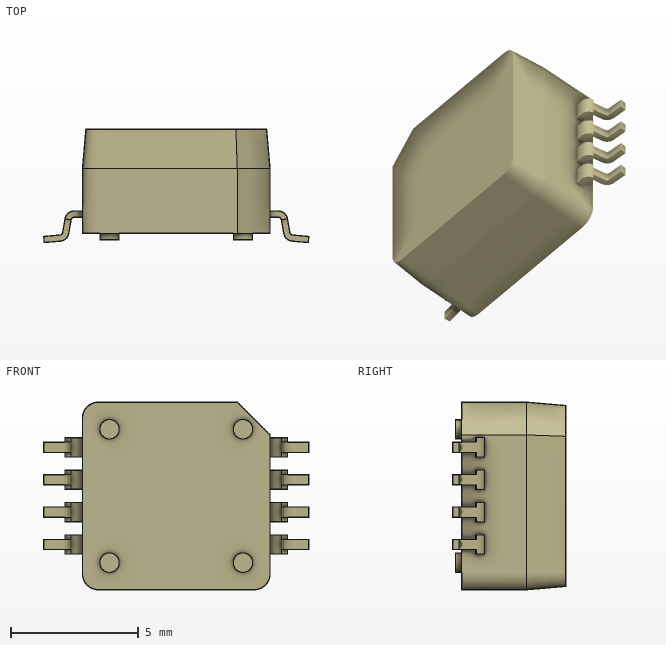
import cadquery as cq
import math


body_side = 7.37
corner_radius = 0.635
corner_chamfer = 1.29
base_depth = 2.54
cap_depth = 1.55
cap_draft = 5.0

peg_diameter = 0.762
peg_height = 0.254
peg_spacing = 5.235

leads_per_side = 4
lead_pitch = 1.27
lead_span = 10.41
lead_thickness = 0.25
shoulder_width = 0.762
shoulder_length = 0.313
foot_width = 0.406
lead_exit_height = 0.76
bend_radius = 0.25
leg_length = 0.538
leg_angle = math.radians(80)
foot_angle = math.radians(5)

half_side = body_side / 2


def body_prism(y, depth, draft=0):
    """Solid grown towards +Y from an outline with one chamfered and three rounded corners."""
    flat_end = half_side - corner_chamfer
    round_end = half_side - corner_radius
    arc_middle = round_end + corner_radius * math.sqrt(0.5)
    return (
        cq.Workplane("ZX", origin=(0, y, 0))
        .moveTo(half_side, flat_end)
        .lineTo(flat_end, half_side)
        .lineTo(-round_end, half_side)
        .threePointArc((-arc_middle, arc_middle), (-half_side, round_end))
        .lineTo(-half_side, -round_end)
        .threePointArc((-arc_middle, -arc_middle), (-round_end, -half_side))
        .lineTo(round_end, -half_side)
        .threePointArc((arc_middle, -arc_middle), (half_side, -round_end))
        .close()
        .extrude(depth, taper=draft)
    )


def make_base():
    """Straight-sided base with a peg near each corner of the mounting face."""
    pegs = (
        cq.Workplane("XZ")
        .rect(peg_spacing, peg_spacing, forConstruction=True)
        .vertices()
        .circle(peg_diameter / 2)
        .extrude(peg_height)
    )
    return body_prism(0, base_depth).union(pegs).solids()


def make_cap():
    """Drafted cap seated on the base."""
    return body_prism(base_depth, cap_depth, cap_draft)


def along(point, length, angle):
    """Point reached by moving outwards and down at an angle below the X axis."""
    return (point[0] + length * math.cos(angle), point[1] - length * math.sin(angle))


def around(point, start_angle, end_angle):
    """Point reached along a bend that turns from one downward angle to another."""
    turn = end_angle - start_angle
    chord = 2 * bend_radius * math.sin(abs(turn) / 2)
    return along(point, chord, start_angle + turn / 2)


def strip(path, start, angle, width):
    """Flat strip of the given width swept along a path that leaves start at an angle."""
    section_plane = cq.Plane(
        origin=(*start, 0),
        xDir=(0, 0, 1),
        normal=(math.cos(angle), -math.sin(angle), 0),
    )
    return cq.Workplane(section_plane).rect(width, lead_thickness).sweep(path)


def make_right_lead():
    """Gull-wing lead on the +X side at Z = 0: wide shoulder and bend, narrow leg and foot."""
    root = (half_side, lead_exit_height)
    bend_start = along(root, shoulder_length, 0)
    bend_middle = around(bend_start, 0, leg_angle / 2)
    leg_top = around(bend_start, 0, leg_angle)
    leg_bottom = along(leg_top, leg_length, leg_angle)
    mean_angle = (leg_angle + foot_angle) / 2
    heel_middle = around(leg_bottom, leg_angle, mean_angle)
    foot_start = around(leg_bottom, leg_angle, foot_angle)
    toe_x = lead_span / 2 - lead_thickness / 2 * math.sin(foot_angle)
    toe = along(foot_start, (toe_x - foot_start[0]) / math.cos(foot_angle), foot_angle)

    shoulder_path = (
        cq.Workplane("XY")
        .moveTo(*root)
        .lineTo(*bend_start)
        .threePointArc(bend_middle, leg_top)
    )
    foot_path = (
        cq.Workplane("XY")
        .moveTo(*leg_top)
        .lineTo(*leg_bottom)
        .threePointArc(heel_middle, foot_start)
        .lineTo(*toe)
    )
    shoulder = strip(shoulder_path, root, 0, shoulder_width)
    foot = strip(foot_path, leg_top, leg_angle, foot_width)
    return shoulder.union(foot).solids()


base = make_base()
cap = make_cap()

right_lead = make_right_lead()
left_lead = right_lead.mirror("YZ")
leads = []
for row in range(leads_per_side):
    z = (row - (leads_per_side - 1) / 2) * lead_pitch
    for lead in (right_lead, left_lead):
        leads.append(lead.translate((0, 0, z)).val())

result = cq.Compound.makeCompound([base.val(), cap.val(), *leads])